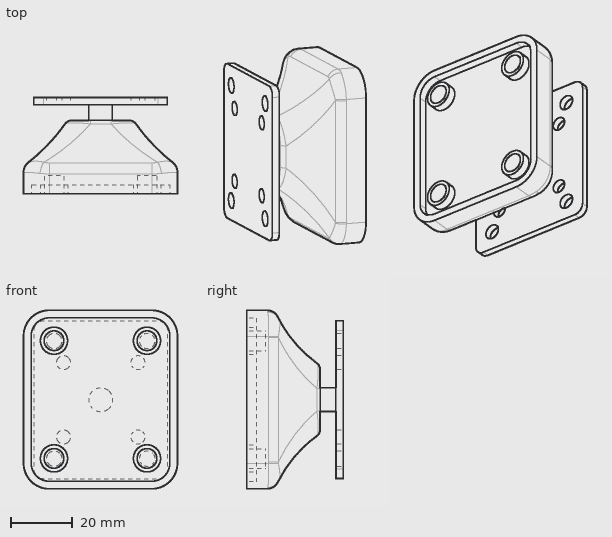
import cadquery as cq

BASE_WIDTH = 49.8
BASE_HEIGHT = 57.8
BASE_CORNER_RADIUS = 8.4
WALL = 2.5
POCKET_DEPTH = 3.0

NECK_Y = 23.75
WAIST_Y = 15.6
FOOT_Y = 7.8
NECK_HALF_WIDTH = 10.7
WAIST_HALF_WIDTH = 17.3
FOOT_HALF_WIDTH = 26.6
NECK_HALF_HEIGHT = 11.05
WAIST_HALF_HEIGHT = 18.3
FOOT_HALF_HEIGHT = 32.35

FLARE_CORNER_RADIUS = 10.0
RIM_FILLET = 4.0
NECK_FILLET = 2.65

BOSS_DIAMETER = 8.8
BOSS_HOLE_DIAMETER = 6.35
BOSS_HOLE_DEPTH = 6.0
BOSS_SPACING_X = 30.05
BOSS_SPACING_Z = 38.0

TOTAL_DEPTH = 31.2
PLATE_WIDTH = 43.2
PLATE_HEIGHT = 51.0
PLATE_THICKNESS = 2.4
PLATE_CORNER_RADIUS = 3.1
POST_DIAMETER = 7.75
OUTER_HOLE_DIAMETER = 4.95
INNER_HOLE_DIAMETER = 4.5
INNER_HOLE_SPACING = 24.05

PLATE_Y = TOTAL_DEPTH - PLATE_THICKNESS


def plane_at(y):
    """XZ sketch plane at the given Y whose normal points toward +Y."""
    return cq.Workplane(cq.Plane(origin=(0, y, 0), xDir=(-1, 0, 0), normal=(0, 1, 0)))


def rounded_block(width, height, corner_radius, y_start, y_end):
    block = plane_at(y_start).rect(width, height).extrude(y_end - y_start)
    return block.edges("|Y").fillet(corner_radius)


def cylinders(diameter, spacing_x, spacing_z, y_start, y_end):
    """Four cylinders along Y on a rectangular pattern."""
    pattern = plane_at(y_start).rect(spacing_x, spacing_z, forConstruction=True).vertices()
    return pattern.circle(diameter / 2).extrude(y_end - y_start)


def concave_prism(plane, neck_half, waist_half, foot_half, length):
    """Prism whose two sides are arcs flaring from the neck to the foot."""
    outline = (
        plane.moveTo(-foot_half, FOOT_Y)
        .threePointArc((-waist_half, WAIST_Y), (-neck_half, NECK_Y))
        .lineTo(neck_half, NECK_Y)
        .threePointArc((waist_half, WAIST_Y), (foot_half, FOOT_Y))
        .lineTo(foot_half, 0)
        .lineTo(-foot_half, 0)
        .close()
    )
    return outline.extrude(length / 2, both=True)


def housing():
    """Flared body trimmed to the outline of the base, with rounded rim and neck."""
    xy_plane = cq.Workplane("XY")
    zy_plane = cq.Workplane(cq.Plane(origin=(0, 0, 0), xDir=(0, 0, 1), normal=(-1, 0, 0)))
    flare = concave_prism(
        xy_plane, NECK_HALF_WIDTH, WAIST_HALF_WIDTH, FOOT_HALF_WIDTH, 2 * FOOT_HALF_HEIGHT
    ).intersect(
        concave_prism(
            zy_plane, NECK_HALF_HEIGHT, WAIST_HALF_HEIGHT, FOOT_HALF_HEIGHT, 2 * FOOT_HALF_WIDTH
        )
    )
    flare_corners = cq.selectors.BoxSelector(
        (-FOOT_HALF_WIDTH, FOOT_Y, -FOOT_HALF_HEIGHT),
        (FOOT_HALF_WIDTH, (WAIST_Y + NECK_Y) / 2, FOOT_HALF_HEIGHT),
    )
    flare = flare.edges(flare_corners).fillet(FLARE_CORNER_RADIUS)
    outline = rounded_block(BASE_WIDTH, BASE_HEIGHT, BASE_CORNER_RADIUS, 0, NECK_Y)
    body = flare.intersect(outline)
    body = body.faces(">Y").edges().fillet(NECK_FILLET)
    rim = cq.selectors.BoxSelector(
        (-BASE_WIDTH, FOOT_Y, -BASE_HEIGHT), (BASE_WIDTH, WAIST_Y, BASE_HEIGHT), boundingbox=True
    )
    return body.edges(rim).fillet(RIM_FILLET)


def base():
    pocket = rounded_block(
        BASE_WIDTH - 2 * WALL, BASE_HEIGHT - 2 * WALL, BASE_CORNER_RADIUS - WALL, 0, POCKET_DEPTH
    )
    bosses = cylinders(BOSS_DIAMETER, BOSS_SPACING_X, BOSS_SPACING_Z, 0, POCKET_DEPTH)
    holes = cylinders(BOSS_HOLE_DIAMETER, BOSS_SPACING_X, BOSS_SPACING_Z, 0, BOSS_HOLE_DEPTH)
    return housing().cut(pocket.cut(bosses)).cut(holes)


def mounting_plate():
    plate = rounded_block(PLATE_WIDTH, PLATE_HEIGHT, PLATE_CORNER_RADIUS, PLATE_Y, TOTAL_DEPTH)
    outer_holes = cylinders(
        OUTER_HOLE_DIAMETER, BOSS_SPACING_X, BOSS_SPACING_Z, PLATE_Y, TOTAL_DEPTH
    )
    inner_holes = cylinders(
        INNER_HOLE_DIAMETER, INNER_HOLE_SPACING, INNER_HOLE_SPACING, PLATE_Y, TOTAL_DEPTH
    )
    return plate.cut(outer_holes).cut(inner_holes)


post = plane_at(NECK_Y).circle(POST_DIAMETER / 2).extrude(PLATE_Y - NECK_Y)

result = base().union(post).union(mounting_plate())